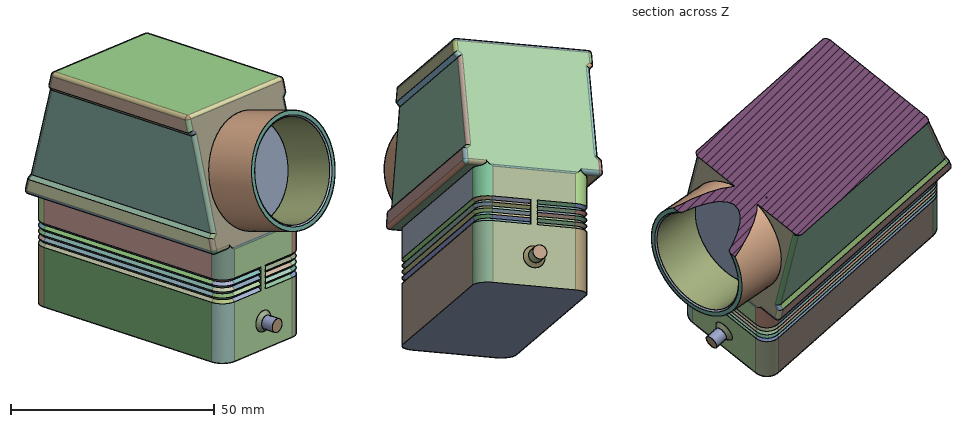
import cadquery as cq
import math

BODY_LENGTH = 63.0
BODY_WIDTH = 29.4
BODY_CORNER_RADIUS = 4.0
KNEE_RADIUS = 2.0

HOOD_BOTTOM_Z = 30.0
HOOD_TOP_Z = 64.5
HOOD_WIDTH = 36.0
HOOD_TOP_LENGTH = 45.0
END_LEAN = math.atan((BODY_LENGTH - HOOD_TOP_LENGTH) / 2 / (HOOD_TOP_Z - HOOD_BOTTOM_Z))
HOOD_EDGE_RADIUS = 1.0
RIM_HEIGHT = 4.2
SIDE_RECESS_DEPTH = 1.0

GROOVE_COUNT = 4
GROOVE_PITCH = 1.575
GROOVE_FLANK_ANGLE = 45.0
GROOVE_TOP_Z = 22.1
GROOVE_GAP = 1.7

PIN_SPAN = 72.0
PIN_DIAMETER = 3.6
PIN_Z = 7.5
PIN_COLLAR_HEIGHT = 1.0

TUBE_DIAMETER = 29.9
TUBE_BORE = 26.8
TUBE_MOUTH_CHAMFER = 0.4
MOUTH_CHAMFER_ANGLE = 45.0
TUBE_LENGTH = 14.5
TUBE_ROOT_Z = 46.2
TUBE_OVERLAP = 1.0


def end_face_x(z):
    """X of the leaning +X end face at height z."""
    return BODY_LENGTH / 2 - (z - HOOD_BOTTOM_Z) * math.tan(END_LEAN)


def make_hood_blank():
    """Sharp-edged trapezoidal prism of the full hood width."""
    bottom_x = end_face_x(HOOD_BOTTOM_Z)
    top_x = end_face_x(HOOD_TOP_Z)
    return (
        cq.Workplane("XZ")
        .moveTo(-bottom_x, HOOD_BOTTOM_Z)
        .lineTo(bottom_x, HOOD_BOTTOM_Z)
        .lineTo(top_x, HOOD_TOP_Z)
        .lineTo(-top_x, HOOD_TOP_Z)
        .close()
        .extrude(HOOD_WIDTH / 2, both=True)
    )


def make_hood(blank):
    """Hood with a shallow recess along each side and rounded outer edges."""
    side_y = HOOD_WIDTH / 2
    floor_y = side_y - SIDE_RECESS_DEPTH
    lower_z = HOOD_BOTTOM_Z + RIM_HEIGHT
    upper_z = HOOD_TOP_Z - RIM_HEIGHT
    recess = (
        cq.Workplane("YZ")
        .moveTo(side_y, lower_z)
        .lineTo(floor_y, lower_z + SIDE_RECESS_DEPTH)
        .lineTo(floor_y, upper_z - SIDE_RECESS_DEPTH)
        .lineTo(side_y, upper_z)
        .close()
        .extrude(BODY_LENGTH / 2, both=True)
    )
    hood = blank.cut(recess).cut(recess.mirror("XZ"))
    end_edges = hood.faces("<X or >X").edges()
    side_edges = hood.edges("|X").edges("<Z or >Z")
    return hood.newObject(end_edges.add(side_edges).vals()).fillet(HOOD_EDGE_RADIUS)


def make_body(blank):
    """Body block, carried up into the hood and trimmed to its leaning ends."""
    block = (
        cq.Workplane("XY")
        .rect(BODY_LENGTH, BODY_WIDTH)
        .extrude(HOOD_BOTTOM_Z + RIM_HEIGHT)
        .edges("|Z")
        .fillet(BODY_CORNER_RADIUS)
    )
    lower = cq.Workplane("XY").box(
        BODY_LENGTH, HOOD_WIDTH, HOOD_BOTTOM_Z, centered=(True, True, False)
    )
    near_knees = cq.selectors.BoxSelector(
        (-BODY_LENGTH, -HOOD_WIDTH, HOOD_BOTTOM_Z - KNEE_RADIUS),
        (BODY_LENGTH, HOOD_WIDTH, HOOD_BOTTOM_Z + KNEE_RADIUS),
    )
    envelope = blank.union(lower).edges("|Y").edges(near_knees).fillet(KNEE_RADIUS)
    return block.intersect(envelope)


def make_groove(top_z):
    """V-section ring, open at the middle of both body ends."""
    half_pitch = GROOVE_PITCH / 2
    middle_z = top_z - half_pitch
    ring = (
        cq.Workplane("XY")
        .workplane(offset=middle_z)
        .rect(BODY_LENGTH, BODY_WIDTH)
        .extrude(half_pitch, both=True)
        .edges("|Z")
        .fillet(BODY_CORNER_RADIUS)
    )
    top_outline = ring.faces(">Z").wires().toPending()
    upper_core = top_outline.extrude(-half_pitch, combine=False, taper=GROOVE_FLANK_ANGLE)
    lower_core = upper_core.mirror("XY", (0, 0, middle_z))
    gap = cq.Workplane("XY").box(BODY_LENGTH, GROOVE_GAP, GROOVE_PITCH).translate((0, 0, middle_z))
    return ring.cut(upper_core).cut(lower_core).cut(gap)


def make_pins():
    """Pin with a conical collar on both ends, turned about one common axis through the body."""
    pin_radius = PIN_DIAMETER / 2
    collar_radius = pin_radius + PIN_COLLAR_HEIGHT
    face_x = BODY_LENGTH / 2
    half_bar = (
        cq.Workplane("XZ")
        .lineTo(0, collar_radius)
        .lineTo(face_x, collar_radius)
        .lineTo(face_x + PIN_COLLAR_HEIGHT, pin_radius)
        .lineTo(PIN_SPAN / 2, pin_radius)
        .lineTo(PIN_SPAN / 2, 0)
        .close()
        .revolve(360, (0, 0, 0), (1, 0, 0))
        .translate((0, 0, PIN_Z))
    )
    return half_bar.union(half_bar.mirror("YZ"))


def make_entry_plane(offset):
    """Workplane square to the cable axis, at a distance outward from the end face."""
    plane = cq.Plane(
        origin=(end_face_x(TUBE_ROOT_Z), 0, TUBE_ROOT_Z),
        xDir=(0, 1, 0),
        normal=(math.cos(END_LEAN), 0, math.sin(END_LEAN)),
    )
    return cq.Workplane(plane).workplane(offset=offset)


def make_tube():
    """Plain outer cylinder of the cable entry, rooted slightly inside the hood."""
    return make_entry_plane(-TUBE_OVERLAP).circle(TUBE_DIAMETER / 2).extrude(TUBE_LENGTH + TUBE_OVERLAP)


def make_tube_bore():
    """Bore down to the hood end face, with a 45-degree chamfer at the mouth."""
    bore = make_entry_plane(0).circle(TUBE_BORE / 2).extrude(TUBE_LENGTH)
    mouth = (
        make_entry_plane(TUBE_LENGTH)
        .circle(TUBE_BORE / 2 + TUBE_MOUTH_CHAMFER)
        .extrude(-TUBE_MOUTH_CHAMFER, taper=MOUTH_CHAMFER_ANGLE)
    )
    return bore.union(mouth)


blank = make_hood_blank()
result = make_hood(blank).union(make_body(blank))
for index in range(GROOVE_COUNT):
    result = result.cut(make_groove(GROOVE_TOP_Z - index * GROOVE_PITCH))
result = result.union(make_pins())
result = result.union(make_tube()).cut(make_tube_bore())